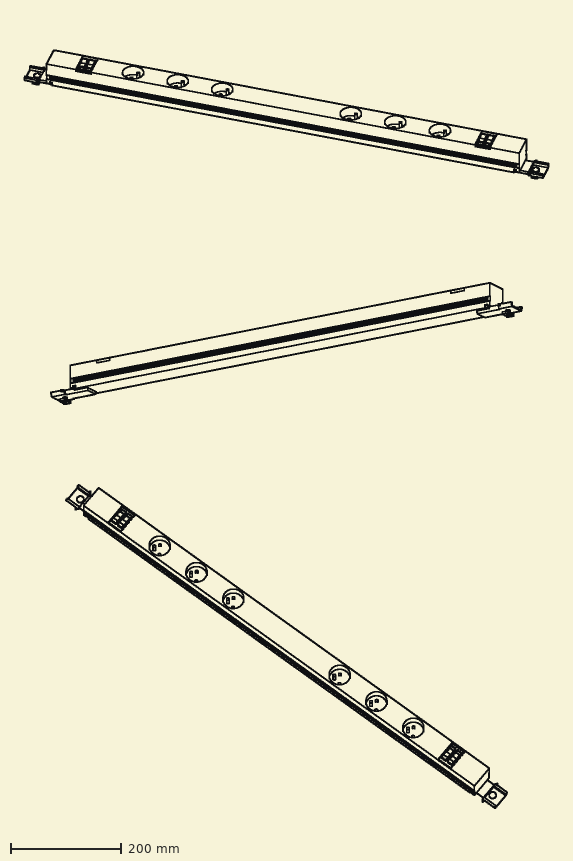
import cadquery as cq
import math

total_length = 984.0
body_length = 897.0
body_width = 44.0
body_height = 46.0
body_end = body_length / 2

cap_length = 6.0
groove_bottom = 12.0
groove_height = 9.0
groove_depth = 1.0
rib_slot_count = 3
rib_slot_height = 1.2
rib_slot_depth = 2.5
notch_height = 3.0
side_pocket_length = 5.0
side_pocket_height = 6.0
side_pocket_depth = 2.0

socket_group_center = 207.0
socket_pitch = 85.0
socket_diameter = 38.0
socket_depth = 19.0
socket_angle = 35.0
pin_hole_radius_from_center = 9.3
pin_hole_diameter = 5.0
pin_hole_depth = 10.0
earth_pin_offset = 10.0
earth_pin_diameter = 5.0
earth_pin_height = 16.0

switch_center = 379.0
switch_length = 29.0
switch_width = 41.0
switch_depth = 5.0
rocker_length = 10.0
rocker_gap = 4.0
rocker_top = 3.0
rocker_ridge_y = 9.0
rocker_dip_y = 0.0
rocker_back_y = 14.0
rocker_front_y = -10.0
rocker_ledge_y = -16.0
rocker_ledge_height = 3.0

bracket_length = 76.0
bracket_head_length = 28.0
bracket_bottom = -5.0
bracket_top = 3.0
bracket_flare = 3.0
bracket_neck_width = 32.0
bracket_head_width = 38.0
bracket_wall = 5.0
bracket_floor = 2.0
tab_length = 2.0
tab_height = 3.0
tab_center = 467.0

fastener_center = 473.0
fastener_tip = -17.0
fastener_head_diameter = 13.0
fastener_head_height = 2.0
collar_diameter = 8.0
wing_length = 12.0
wing_width = 21.0
wing_top = -10.0
wing_bottom = -14.0
tip_diameter = 5.0


def block(length, width, z_low, z_high, x=0.0, y=0.0):
    """Box centred on x and y, spanning z_low to z_high."""
    return cq.Workplane("XY").box(length, width, z_high - z_low, (True, True, False)).translate((x, y, z_low))


def disc(diameter, z_low, z_high, x=0.0, y=0.0):
    """Upright cylinder spanning z_low to z_high."""
    return cq.Workplane("XY").circle(diameter / 2).extrude(z_high - z_low).translate((x, y, z_low))


def make_body():
    """Bar with ribbed side grooves and relieved lower ends."""
    body = block(body_length, body_width, 0, body_height)
    inner_length = body_length - 2 * cap_length
    slot_pitch = groove_height / rib_slot_count
    for side in (-1, 1):
        face_y = side * body_width / 2
        body = body.cut(
            block(body_length, 2 * groove_depth, groove_bottom, groove_bottom + groove_height, y=face_y)
        )
        for index in range(rib_slot_count):
            slot_z = groove_bottom + (index + 0.5) * slot_pitch
            body = body.cut(
                block(inner_length, 2 * rib_slot_depth, slot_z - rib_slot_height / 2,
                      slot_z + rib_slot_height / 2, y=face_y)
            )
    for end in (-1, 1):
        body = body.cut(block(2 * cap_length, body_width, 0, notch_height, x=end * body_end))
        pocket_x = end * (body_end - cap_length - side_pocket_length / 2)
        for side in (-1, 1):
            body = body.cut(
                block(side_pocket_length, 2 * side_pocket_depth, 0, side_pocket_height,
                      x=pocket_x, y=side * body_width / 2)
            )
    return body


def cut_socket(body, x):
    """Round well with two contact holes and an earth pin standing on its floor."""
    floor_z = body_height - socket_depth
    earth_angle = math.radians(socket_angle)
    body = body.cut(disc(socket_diameter, floor_z, body_height, x))
    for turn in (-1, 1):
        angle = earth_angle + turn * math.pi / 2
        hole_x = x + pin_hole_radius_from_center * math.cos(angle)
        hole_y = pin_hole_radius_from_center * math.sin(angle)
        body = body.cut(disc(pin_hole_diameter, floor_z - pin_hole_depth, floor_z, hole_x, hole_y))
    pin_x = x + earth_pin_offset * math.cos(earth_angle)
    pin_y = earth_pin_offset * math.sin(earth_angle)
    return body.union(disc(earth_pin_diameter, floor_z, floor_z + earth_pin_height, pin_x, pin_y))


def add_switch(body, x):
    """Rectangular well holding two ridged rockers side by side, each with a low front ledge."""
    floor_z = body_height - switch_depth
    ledge_z = floor_z + rocker_ledge_height
    body = body.cut(block(switch_length, switch_width, floor_z, body_height, x))
    rocker = (
        cq.Workplane("YZ")
        .moveTo(rocker_ledge_y, floor_z)
        .lineTo(rocker_ledge_y, ledge_z)
        .lineTo(rocker_front_y, ledge_z)
        .lineTo(rocker_front_y, body_height)
        .lineTo(rocker_dip_y, body_height)
        .lineTo(rocker_ridge_y, body_height + rocker_top)
        .lineTo(rocker_back_y, body_height)
        .lineTo(rocker_back_y, floor_z)
        .close()
        .extrude(rocker_length / 2, both=True)
    )
    for side in (-1, 1):
        offset = side * (rocker_length + rocker_gap) / 2
        body = body.union(rocker.translate((x + offset, 0, 0)))
    return body


def flared_bar(length, top_width):
    """Solid bar along +X from 0, wider at the top than at the bottom."""
    half_top = top_width / 2
    half_bottom = half_top - bracket_flare
    return (
        cq.Workplane("YZ")
        .polyline([
            (-half_bottom, bracket_bottom),
            (half_bottom, bracket_bottom),
            (half_top, bracket_top),
            (-half_top, bracket_top),
        ])
        .close()
        .extrude(length)
    )


def make_bracket():
    """Bracket and fastener for the -X end."""
    floor_z = bracket_bottom + bracket_floor
    outer_x = -total_length / 2
    recess_width = bracket_head_width - 2 * bracket_wall
    head = flared_bar(bracket_head_length, bracket_head_width).cut(
        block(2 * bracket_head_length, recess_width, floor_z, bracket_top)
    )
    neck = flared_bar(bracket_length - bracket_head_length, bracket_neck_width)
    bracket = head.union(neck.translate((bracket_head_length, 0, 0))).translate((outer_x, 0, 0))
    tab_y = (body_width + bracket_neck_width) / 4
    tab_width = (body_width - bracket_neck_width) / 2
    for side in (-1, 1):
        bracket = bracket.union(
            block(tab_length, tab_width, bracket_top - tab_height, bracket_top, -tab_center, side * tab_y)
        )
    x = -fastener_center
    bracket = bracket.union(disc(fastener_head_diameter, floor_z, floor_z + fastener_head_height, x))
    bracket = bracket.union(disc(collar_diameter, wing_top, floor_z, x))
    bracket = bracket.union(block(wing_length, wing_width, wing_bottom, wing_top, x))
    return bracket.union(disc(tip_diameter, fastener_tip, wing_top, x))


result = make_body()
for end in (-1, 1):
    for place in (-1, 0, 1):
        result = cut_socket(result, end * socket_group_center + place * socket_pitch)
    result = add_switch(result, end * switch_center)

left_bracket = make_bracket()
result = result.union(left_bracket).union(left_bracket.mirror("YZ"))